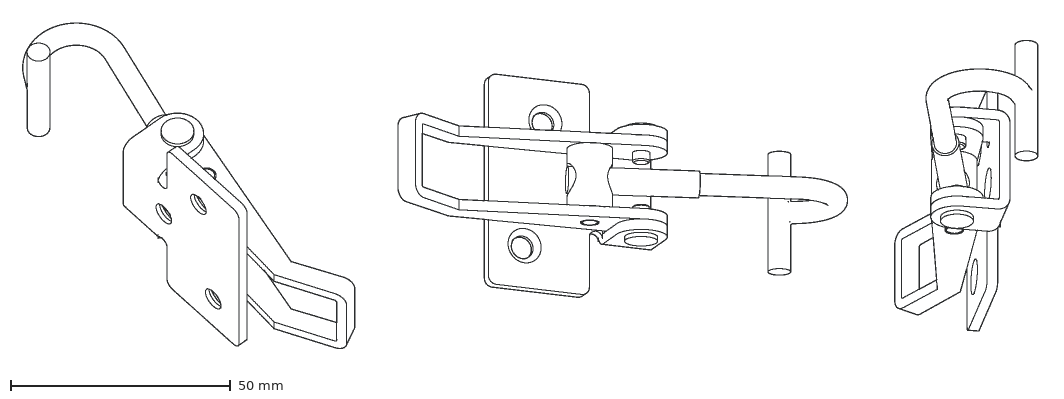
import cadquery as cq
import math

SHEET = 2.5
PIVOT_Y = 11.2
OVERALL_LENGTH = 108.6
EAR_RADIUS = 6.0
LEVER_WIDTH = 20.0
BEND_RADIUS = 2.9

PLATE_LEFT = 9.1
PLATE_RIGHT = 34.0
PLATE_HEIGHT = 50
PLATE_CORNER = 2.0
SCREW_DIAMETER = 5.3
SCREW_LAND = 1.1
COUNTERSINK_ANGLE = 90
SCREW_HOLES = [(20.0, 15.0), (25.1, -15.0), (8.0, 0)]

RIVET_HEAD_DIAMETER = 7.5
RIVET_HEAD_HEIGHT = 1.0
RIVET_SHANK_DIAMETER = 4.0
RIVET_PROJECTION = 2.3
END_CHAMFER = 0.3

KNEE_TOP = (43.3, 7.6)
KNEE_BOTTOM = (43.7, 2.2)
HANDLE_ANGLE = 28
HANDLE_DEPTH = 5.2

BARREL_X = 12
BARREL_Y = 9.6
BARREL_DIAMETER = 10.4
JOURNAL_DIAMETER = 4.2
ROD_HOLE_DIAMETER = 7.5

ROD_DIAMETER = 5.1
SLEEVE_DIAMETER = 6.2
ROD_ANGLE = 15.3
ROD_LENGTH = 48.0
SLEEVE_LENGTH = 25
HOOK_RADIUS = 9.7
TAIL_ANGLE = 30
TAIL_LENGTH = 4.7
CROSSBAR_DIAMETER = 5.2
CROSSBAR_LENGTH = 27.9
WELD_RADIUS = 0.4

BRACKET_WIDTH = LEVER_WIDTH + 2 * SHEET
ARM_GAP = LEVER_WIDTH - 2 * SHEET


def rod_along_z(x, y, diameter, z_start, z_end):
    """Round bar parallel to Z between two heights."""
    return (
        cq.Workplane("XY", origin=(x, y, z_start))
        .circle(diameter / 2)
        .extrude(z_end - z_start)
    )


def centred_rod(x, y, diameter, length):
    """Round bar parallel to Z, centred on the mid plane."""
    return rod_along_z(x, y, diameter, -length / 2, length / 2)


def polar(radius, degrees):
    """Offset vector of a given length and direction in the XY plane."""
    angle = math.radians(degrees)
    return cq.Vector(radius * math.cos(angle), radius * math.sin(angle))


ROD_DIRECTION = polar(1, 180 - ROD_ANGLE)
BARREL_CENTRE = cq.Vector(BARREL_X, BARREL_Y, 0)
HOOK_START = BARREL_CENTRE + ROD_DIRECTION * ROD_LENGTH
HOOK_CENTRE = HOOK_START + polar(HOOK_RADIUS, 270 - ROD_ANGLE)
HOOK_LEFT = HOOK_CENTRE.x - HOOK_RADIUS - ROD_DIAMETER / 2


def make_bracket():
    channel = (
        cq.Workplane("XY")
        .box(2 * EAR_RADIUS, PIVOT_Y, BRACKET_WIDTH, centered=(True, False, True))
        .edges("|X and <Y")
        .fillet(BEND_RADIUS)
    )
    channel = channel.union(centred_rod(0, PIVOT_Y, 2 * EAR_RADIUS, BRACKET_WIDTH))
    inner_height = PIVOT_Y + EAR_RADIUS - SHEET
    gap = (
        cq.Workplane("XY", origin=(0, SHEET, 0))
        .box(2 * EAR_RADIUS, inner_height, LEVER_WIDTH, centered=(True, False, True))
        .edges("|X and <Y")
        .fillet(BEND_RADIUS - SHEET)
    )
    channel = channel.cut(gap)

    plate = (
        cq.Workplane("XY", origin=(PLATE_LEFT, 0, 0))
        .box(PLATE_RIGHT - PLATE_LEFT, SHEET, PLATE_HEIGHT, centered=(False, False, True))
        .edges("|Y")
        .fillet(PLATE_CORNER)
    )

    notch_radius = (PLATE_LEFT - EAR_RADIUS) / 2
    notch_x = EAR_RADIUS + notch_radius
    notch_z = BRACKET_WIDTH / 2 - BEND_RADIUS + notch_radius
    neck = (
        cq.Workplane("XZ", origin=(notch_x, 0, 0))
        .rect(2 * notch_radius, 2 * notch_z)
        .extrude(-SHEET)
    )
    notches = (
        cq.Workplane("XZ")
        .pushPoints([(notch_x, -notch_z), (notch_x, notch_z)])
        .circle(notch_radius)
        .extrude(-SHEET)
    )
    bracket = channel.union(plate).union(neck.cut(notches))

    countersink_diameter = SCREW_DIAMETER + 2 * (SHEET - SCREW_LAND) * math.tan(
        math.radians(COUNTERSINK_ANGLE / 2)
    )
    bracket = (
        bracket.copyWorkplane(cq.Workplane("ZX", origin=(0, SHEET, 0)))
        .pushPoints([(z, x) for x, z in SCREW_HOLES])
        .cskHole(SCREW_DIAMETER, countersink_diameter, COUNTERSINK_ANGLE, SHEET)
    )

    rivet_holes = centred_rod(0, PIVOT_Y, RIVET_SHANK_DIAMETER, BRACKET_WIDTH)
    return bracket.cut(rivet_holes)


def tangent_point(point, side):
    """Point where a line from `point` touches the pivot circle; side is +1 (top) or -1 (bottom)."""
    x = point[0]
    y = point[1] - PIVOT_Y
    direction = math.degrees(math.atan2(y, x))
    opening = math.degrees(math.acos(EAR_RADIUS / math.hypot(x, y)))
    touch = cq.Vector(0, PIVOT_Y) + polar(EAR_RADIUS, direction + side * opening)
    return touch.x, touch.y


def make_lever():
    handle_depth = polar(HANDLE_DEPTH, HANDLE_ANGLE - 90)
    handle_reach = HOOK_LEFT + OVERALL_LENGTH - KNEE_TOP[0] - handle_depth.x
    handle_length = handle_reach / math.cos(math.radians(HANDLE_ANGLE))
    handle_top = cq.Vector(*KNEE_TOP) + polar(handle_length, HANDLE_ANGLE)
    handle_bottom = handle_top + handle_depth
    lever = (
        cq.Workplane("XY", origin=(0, 0, -LEVER_WIDTH / 2))
        .moveTo(*tangent_point(KNEE_TOP, 1))
        .lineTo(*KNEE_TOP)
        .lineTo(handle_top.x, handle_top.y)
        .lineTo(handle_bottom.x, handle_bottom.y)
        .lineTo(*KNEE_BOTTOM)
        .lineTo(*tangent_point(KNEE_BOTTOM, -1))
        .threePointArc((-EAR_RADIUS, PIVOT_Y), tangent_point(KNEE_TOP, 1))
        .close()
        .extrude(LEVER_WIDTH)
    )

    handle_end = (handle_top + handle_bottom) / 2
    for z in (-LEVER_WIDTH / 2, LEVER_WIDTH / 2):
        corner = cq.selectors.NearestToPointSelector((handle_end.x, handle_end.y, z))
        lever = lever.edges(corner).fillet(BEND_RADIUS)

    grip_start = cq.Vector(*KNEE_TOP) + polar(handle_length - SHEET, HANDLE_ANGLE)
    gap_height = 2 * (PIVOT_Y + EAR_RADIUS)
    handle_gap = (
        cq.Workplane("XY")
        .box(2 * handle_length, gap_height, ARM_GAP)
        .edges(">X and |Y")
        .fillet(BEND_RADIUS - SHEET)
        .translate((-handle_length, 0, 0))
        .rotate((0, 0, 0), (0, 0, 1), HANDLE_ANGLE)
        .translate(grip_start)
    )
    arm_gap_length = KNEE_TOP[0] + EAR_RADIUS
    arm_gap = (
        cq.Workplane("XY", origin=(-EAR_RADIUS, 0, 0))
        .box(arm_gap_length, gap_height, ARM_GAP, centered=(False, True, True))
    )
    lever = lever.cut(handle_gap).cut(arm_gap)

    rivet_holes = centred_rod(0, PIVOT_Y, RIVET_SHANK_DIAMETER, LEVER_WIDTH)
    journal_holes = centred_rod(BARREL_X, BARREL_Y, JOURNAL_DIAMETER, LEVER_WIDTH)
    return lever.cut(rivet_holes).cut(journal_holes)


def make_rivet(side):
    """Rivet for the upper (+1) or lower (-1) ear, with its head outside."""
    inner_z = ARM_GAP / 2 - RIVET_PROJECTION
    outer_z = BRACKET_WIDTH / 2
    shank = rod_along_z(0, PIVOT_Y, RIVET_SHANK_DIAMETER, inner_z, outer_z)
    shank = shank.faces("<Z").chamfer(END_CHAMFER)
    head = rod_along_z(0, PIVOT_Y, RIVET_HEAD_DIAMETER, outer_z, outer_z + RIVET_HEAD_HEIGHT)
    rivet = shank.union(head)
    if side < 0:
        rivet = rivet.mirror("XY")
    return rivet


def rod_from_barrel(diameter, start, end):
    """Round bar on the rod's axis, between two distances from the barrel axis."""
    base = BARREL_CENTRE + ROD_DIRECTION * start
    return cq.Workplane(cq.Solid.makeCylinder(diameter / 2, end - start, base, ROD_DIRECTION))


def make_barrel():
    journals = centred_rod(BARREL_X, BARREL_Y, JOURNAL_DIAMETER, LEVER_WIDTH)
    journals = journals.faces("<Z or >Z").chamfer(END_CHAMFER)
    body = centred_rod(BARREL_X, BARREL_Y, BARREL_DIAMETER, ARM_GAP)
    rod_hole = rod_from_barrel(ROD_HOLE_DIAMETER, -BARREL_DIAMETER, BARREL_DIAMETER)
    return body.union(journals).cut(rod_hole)


def make_hook():
    start_angle = 90 - ROD_ANGLE
    end_angle = 270 - TAIL_ANGLE
    bend_middle = HOOK_CENTRE + polar(HOOK_RADIUS, (start_angle + end_angle) / 2)
    bend_end = HOOK_CENTRE + polar(HOOK_RADIUS, end_angle)
    crossbar_centre = bend_end + polar(TAIL_LENGTH, -TAIL_ANGLE)

    sleeve = rod_from_barrel(SLEEVE_DIAMETER, -BARREL_DIAMETER / 2, SLEEVE_LENGTH)
    rod = rod_from_barrel(ROD_DIAMETER, SLEEVE_LENGTH, ROD_LENGTH)
    bend_path = cq.Workplane("XY").moveTo(HOOK_START.x, HOOK_START.y).threePointArc(
        (bend_middle.x, bend_middle.y), (bend_end.x, bend_end.y)
    )
    bend_plane = cq.Plane(origin=HOOK_START, xDir=(0, 0, 1), normal=ROD_DIRECTION)
    bend = cq.Workplane(bend_plane).circle(ROD_DIAMETER / 2).sweep(bend_path)
    tail = cq.Workplane(
        cq.Solid.makeCylinder(ROD_DIAMETER / 2, TAIL_LENGTH, bend_end, polar(1, -TAIL_ANGLE))
    )
    crossbar = centred_rod(
        crossbar_centre.x, crossbar_centre.y, CROSSBAR_DIAMETER, CROSSBAR_LENGTH
    )

    end_piece = tail.union(crossbar)
    end_piece = end_piece.edges("not(%CIRCLE or %LINE)").fillet(WELD_RADIUS)
    return sleeve.union(rod).union(bend).union(end_piece)


bracket = make_bracket()
lever = make_lever()
rivets = [make_rivet(side) for side in (1, -1)]
barrel = make_barrel()
hook = make_hook()

bodies = [bracket, lever, *rivets, barrel, hook]
result = cq.Compound.makeCompound([body.solids().val() for body in bodies])